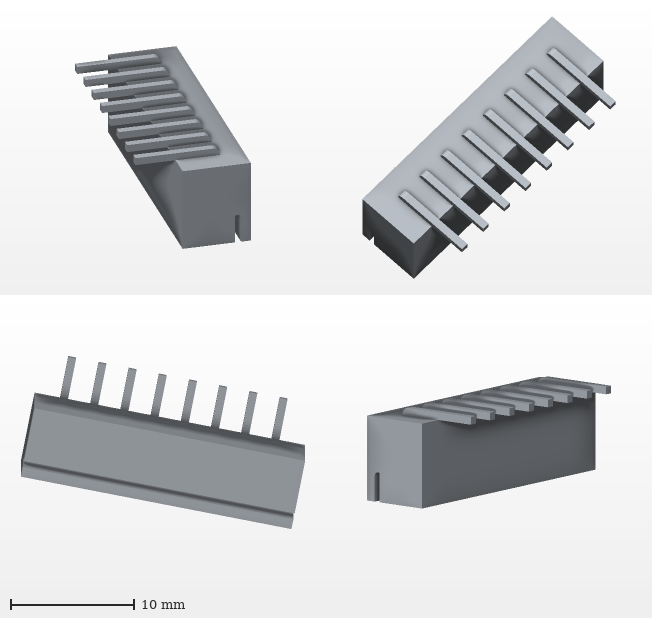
import cadquery as cq

HOUSING_LENGTH = 22.4
HOUSING_DEPTH = 5.75
HOUSING_HEIGHT = 7.0

SLOT_WIDTH = 0.5
SLOT_HEIGHT = 2.45
SLOT_BACK_WALL = 0.83
SLOT_CORNER_RADIUS = 0.31

PIN_COUNT = 8
PIN_ROW_SPAN = 17.5
PIN_PITCH = PIN_ROW_SPAN / (PIN_COUNT - 1)
PIN_WIDTH = 0.65
PIN_HEIGHT = 0.63
PIN_OVERHANG = 3.38
PIN_BACK_SETBACK = 2.0
PIN_LENGTH = HOUSING_DEPTH - PIN_BACK_SETBACK + PIN_OVERHANG
PIN_CORNER_RADIUS = 0.6



def make_slot_cutter():
    """Full-length slot with its upper back corner rounded."""
    return (
        cq.Workplane("XY")
        .box(HOUSING_LENGTH, SLOT_WIDTH, SLOT_HEIGHT, centered=(True, False, False))
        .edges(">Y and >Z")
        .fillet(SLOT_CORNER_RADIUS)
        .translate((0, HOUSING_DEPTH - SLOT_BACK_WALL - SLOT_WIDTH, 0))
    )


def make_housing():
    """Rectangular block with the slot near its back."""
    block = cq.Workplane("XY").box(
        HOUSING_LENGTH, HOUSING_DEPTH, HOUSING_HEIGHT, centered=(True, False, False)
    )
    return block.cut(make_slot_cutter())


def make_pin(x_center):
    """Straight pin resting on the housing top, with a rounded upper rear edge."""
    return (
        cq.Workplane("XY")
        .box(PIN_WIDTH, PIN_LENGTH, PIN_HEIGHT, centered=(True, False, False))
        .edges(">Y and >Z")
        .fillet(PIN_CORNER_RADIUS)
        .translate((x_center, -PIN_OVERHANG, HOUSING_HEIGHT))
    )


housing = make_housing()
pins = [make_pin(index * PIN_PITCH - PIN_ROW_SPAN / 2) for index in range(PIN_COUNT)]

result = cq.Compound.makeCompound([housing.val(), *[pin.val() for pin in pins]])